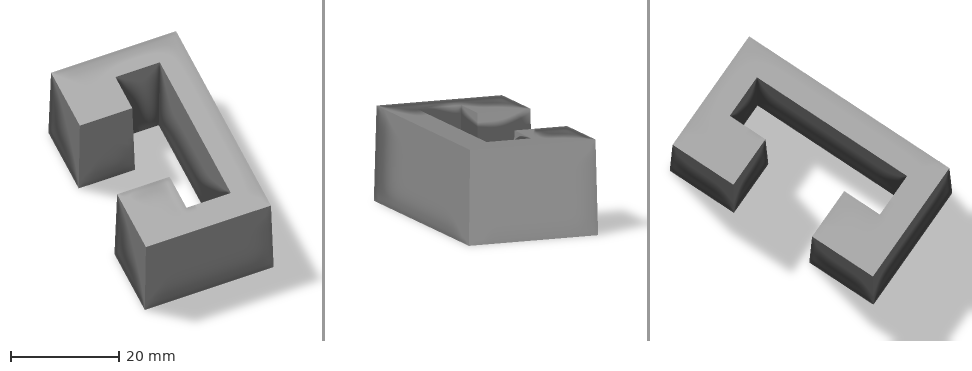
import cadquery as cq
import math

length = 45.6
depth = 25.9
height = 18.0
draft_angle = 1.2

side_wall = 6.4
back_wall = 6.45
foot_width = 14.35
foot_depth = 11.3


def c_outline(inset):
    """Corners of the C, with every edge moved into the material by inset."""
    outer_x = length / 2 - inset
    pocket_x = length / 2 - side_wall + inset
    mouth_x = length / 2 - foot_width + inset
    front = -depth / 2 + inset
    back = depth / 2 - inset
    foot_back = -depth / 2 + foot_depth - inset
    pocket_back = depth / 2 - back_wall + inset
    right_half = [
        (outer_x, back),
        (outer_x, front),
        (mouth_x, front),
        (mouth_x, foot_back),
        (pocket_x, foot_back),
        (pocket_x, pocket_back),
    ]
    left_half = [(-x, y) for x, y in reversed(right_half)]
    return right_half + left_half


top_inset = height * math.tan(math.radians(draft_angle))
result = (
    cq.Workplane("XY")
    .polyline(c_outline(0))
    .close()
    .workplane(offset=height)
    .polyline(c_outline(top_inset))
    .close()
    .loft(ruled=True)
)